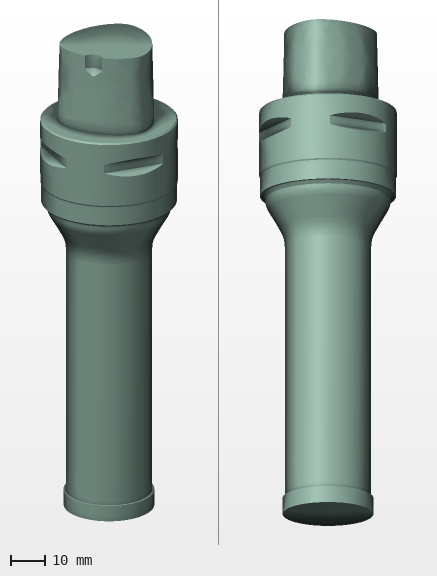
import cadquery as cq
import math

total_height = 146
ring_bottom = 0.9
ring_top = 5.7
neck_bottom = 81.3
neck_top = 95.5
collar_bottom = 96.5
flange_bottom = 102.2
flange_top = 122.2
taper_bottom = 124.8

flange_radius = 40.0 / 2
collar_radius = 39.5 / 2
neck_radius = 36.5 / 2
shank_radius = 25.1 / 2
ring_radius = 26.4 / 2
flange_chamfer = 0.5
step_chamfer = 0.5
collar_chamfer = 0.9

neck_angle = math.radians(30)
upper_blend_radius = 5.8

coupling_radius = 14.0
lobe_eccentricity = 1.0
taper_per_length = 1 / 40
lobe_count = 3
points_per_lobe = 16

notch_radius = 3.0
notch_center_y = -13.7
notch_straight_depth = 4.1

pocket_count = 4
pocket_first_angle = 45
pocket_floor_distance = 17.7
pocket_floor_height = 2.6
pocket_center_z = 114.2
pocket_side_angle = math.radians(30)
pocket_length = 2 * flange_radius


def make_stem():
    """Revolved shank, blended neck, collar and flange."""
    sin_a = math.sin(neck_angle)
    cos_a = math.cos(neck_angle)
    cone_slope = math.tan(neck_angle)
    half_turn = math.tan(neck_angle / 2)
    corner_cone_height = (neck_radius - shank_radius) / cone_slope
    blend_sum = (neck_top - neck_bottom - corner_cone_height) / half_turn
    lower_blend_radius = blend_sum - upper_blend_radius

    lower_end = (
        shank_radius + lower_blend_radius * (1 - cos_a),
        neck_bottom + lower_blend_radius * sin_a,
    )
    upper_end = (
        neck_radius - upper_blend_radius * (1 - cos_a),
        neck_top - upper_blend_radius * sin_a,
    )
    profile = (
        cq.Workplane("XZ")
        .moveTo(0, ring_top)
        .lineTo(shank_radius, ring_top)
        .lineTo(shank_radius, neck_bottom)
        .tangentArcPoint(lower_end, relative=False)
        .lineTo(*upper_end)
        .tangentArcPoint((neck_radius, neck_top), relative=False)
        .lineTo(collar_radius - collar_chamfer, collar_bottom)
        .lineTo(collar_radius, collar_bottom)
        .lineTo(collar_radius, flange_bottom)
        .lineTo(flange_radius, flange_bottom + step_chamfer)
        .lineTo(flange_radius, flange_top - flange_chamfer)
        .lineTo(flange_radius - flange_chamfer, flange_top)
        .lineTo(0, flange_top)
        .close()
    )
    return profile.revolve(360, (0, 0, 0), (0, 1, 0))


def lobed_point(angle, mean_radius, z):
    """Point of the lobed outline whose outward normal is at this angle from +Y."""
    support = mean_radius + lobe_eccentricity * math.cos(lobe_count * angle)
    support_slope = -lobe_count * lobe_eccentricity * math.sin(lobe_count * angle)
    toward_lobe = support * math.cos(angle) - support_slope * math.sin(angle)
    sideways = support * math.sin(angle) + support_slope * math.cos(angle)
    return cq.Vector(-sideways, toward_lobe, z)


def lobed_section(z, mean_radius):
    """Closed constant-width curve with three lobes, one of them toward +Y."""
    point_count = lobe_count * points_per_lobe
    angles = [2 * math.pi * i / point_count for i in range(point_count)]
    points = [lobed_point(angle, mean_radius, z) for angle in angles]
    edge = cq.Edge.makeSpline(points, periodic=True)
    return cq.Wire.assembleEdges([edge])


def make_coupling():
    """Straight lobed foot with the lobed taper above it."""
    top_radius = coupling_radius - taper_per_length * (total_height - taper_bottom)
    foot_bottom = lobed_section(flange_top, coupling_radius)
    foot_top = lobed_section(taper_bottom, coupling_radius)
    taper_top = lobed_section(total_height, top_radius)
    foot = cq.Solid.makeLoft([foot_bottom, foot_top], True)
    taper = cq.Solid.makeLoft([foot_top, taper_top], True)
    return cq.Workplane(foot).union(cq.Workplane(taper))


def make_notch():
    """Drilled groove with a 90 degree conical end, open at the coupling top."""
    shoulder_z = total_height - notch_straight_depth
    profile = (
        cq.Workplane("XZ", origin=(0, notch_center_y, 0))
        .moveTo(0, shoulder_z - notch_radius)
        .lineTo(notch_radius, shoulder_z)
        .lineTo(notch_radius, total_height)
        .lineTo(0, total_height)
        .close()
    )
    return profile.revolve(360, (0, 0, 0), (0, 1, 0))


def make_pocket(angle):
    """Flat-floored pocket with flaring sides, cut across the flange rim."""
    half_floor = pocket_floor_height / 2
    depth = flange_radius - pocket_floor_distance
    half_mouth = half_floor + depth * math.tan(pocket_side_angle)
    section = [
        (pocket_floor_distance, pocket_center_z - half_floor),
        (flange_radius, pocket_center_z - half_mouth),
        (flange_radius, pocket_center_z + half_mouth),
        (pocket_floor_distance, pocket_center_z + half_floor),
    ]
    pocket = cq.Workplane("XZ").polyline(section).close().extrude(pocket_length / 2, both=True)
    return pocket.rotate((0, 0, 0), (0, 0, 1), angle)


def make_holder():
    holder = make_stem().union(make_coupling()).cut(make_notch())
    for i in range(pocket_count):
        holder = holder.cut(make_pocket(pocket_first_angle + i * 360 / pocket_count))
    return holder


def make_cutting_ring():
    """Cutting end: a short disc with a shallow domed tip."""
    dome_radius = (ring_radius**2 + ring_bottom**2) / (2 * ring_bottom)
    dome_mid_radius = ring_radius / 2
    dome_mid_height = dome_radius - math.sqrt(dome_radius**2 - dome_mid_radius**2)
    return (
        cq.Workplane("XZ")
        .moveTo(0, ring_top)
        .lineTo(0, 0)
        .threePointArc((dome_mid_radius, dome_mid_height), (ring_radius, ring_bottom))
        .lineTo(ring_radius, ring_top)
        .close()
        .revolve(360, (0, 0, 0), (0, 1, 0))
    )


holder = make_holder()
cutting_ring = make_cutting_ring()

result = cq.Compound.makeCompound([holder.val(), cutting_ring.val()])